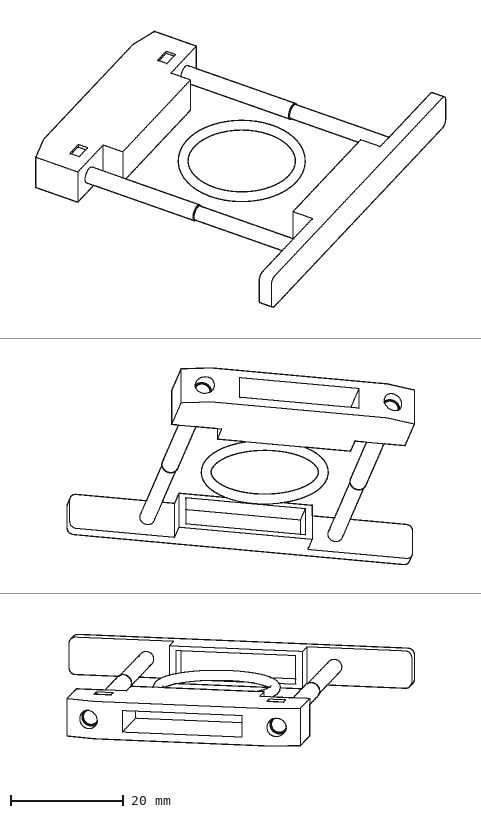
import cadquery as cq

thickness = 6.8
overall_length = 55.3
block_width = 24.1
block_length = 4.0

housing_width = 42.2
housing_body_length = 10.0
nose_width = 31.8
nose_taper_length = 1.4
slot_width = 21.6
slot_height = 3.9
slot_depth = 12.0
pocket_length = 1.9
pocket_width = 3.0
pocket_depth = 0.45
groove_width = 0.2
groove_depth = 1.2
pocket_center_x = 7.05
pocket_center_y = 15.6

plate_width = 62.0
plate_thickness = 2.5
plate_corner_radius = 1.2
plate_inner_x = overall_length - plate_thickness
recess_height = 5.2
recess_depth = 4.5

rod_center_y = 17.0
rod_start_x = 2.6
rod_shoulder_x = 32.2
shank_diameter = 3.0
tip_diameter = 2.69
shank_chamfer = (shank_diameter - tip_diameter) / 2
entry_hole_diameter = 3.3

ring_inner_diameter = 19.0
ring_cord_diameter = 1.78
ring_center_x = 31.4


def box_from(x_start, length, width, height):
    """Box centred on Y and Z whose low X face lies at x_start."""
    return cq.Workplane("XY").box(length, width, height).translate((x_start + length / 2, 0, 0))


def cylinder_along_x(x_start, x_end, diameter, y):
    return cq.Workplane("YZ", origin=(x_start, y, 0)).circle(diameter / 2).extrude(x_end - x_start)


def box_below_top(width, depth, y_center):
    """Cutter as long as the pocket in X, sunk by depth from the top face."""
    z_center = (thickness - depth) / 2
    return cq.Workplane("XY").box(pocket_length, width, depth).translate((pocket_center_x, y_center, z_center))


def make_pocket(side):
    """Shallow top pocket with a deeper, narrow groove along its inner edge."""
    groove_center_y = pocket_center_y - (pocket_width - groove_width) / 2
    pocket = box_below_top(pocket_width, pocket_depth, side * pocket_center_y)
    return pocket.union(box_below_top(groove_width, groove_depth, side * groove_center_y))


def make_housing():
    length = housing_body_length + block_length
    half_profile = [
        (0, nose_width / 2),
        (nose_taper_length, housing_width / 2),
        (housing_body_length, housing_width / 2),
        (housing_body_length, block_width / 2),
        (length, block_width / 2),
    ]
    mirrored_profile = [(x, -y) for x, y in reversed(half_profile)]
    body = (
        cq.Workplane("XY", origin=(0, 0, -thickness / 2))
        .polyline(half_profile + mirrored_profile)
        .close()
        .extrude(thickness)
    )
    body = body.cut(box_from(0, slot_depth, slot_width, slot_height))
    for side in (-1, 1):
        rod_y = side * rod_center_y
        body = body.cut(cylinder_along_x(0, rod_start_x, entry_hole_diameter, rod_y))
        body = body.cut(cylinder_along_x(rod_start_x, housing_body_length, shank_diameter, rod_y))
        body = body.cut(make_pocket(side))
    return body


def make_end_plate():
    plate = box_from(plate_inner_x, plate_thickness, plate_width, thickness)
    plate = plate.edges("|X").fillet(plate_corner_radius)
    block_start_x = plate_inner_x - block_length
    plate = plate.union(box_from(block_start_x, block_length, block_width, thickness))
    return plate.cut(box_from(block_start_x, recess_depth, slot_width, recess_height))


def make_rod(y):
    shank = cylinder_along_x(rod_start_x, rod_shoulder_x, shank_diameter, y)
    shank = shank.faces("|X").chamfer(shank_chamfer)
    return shank.union(cylinder_along_x(rod_shoulder_x, plate_inner_x, tip_diameter, y))


def make_ring():
    cord_center_radius = (ring_inner_diameter + ring_cord_diameter) / 2
    return cq.Workplane("XY").add(
        cq.Solid.makeTorus(cord_center_radius, ring_cord_diameter / 2, cq.Vector(ring_center_x, 0, 0))
    )


housing = make_housing()
end_plate = make_end_plate()
rods = [make_rod(side * rod_center_y) for side in (-1, 1)]
ring = make_ring()

result = cq.Compound.makeCompound([housing.val(), end_plate.val(), *[rod.val() for rod in rods], ring.val()])